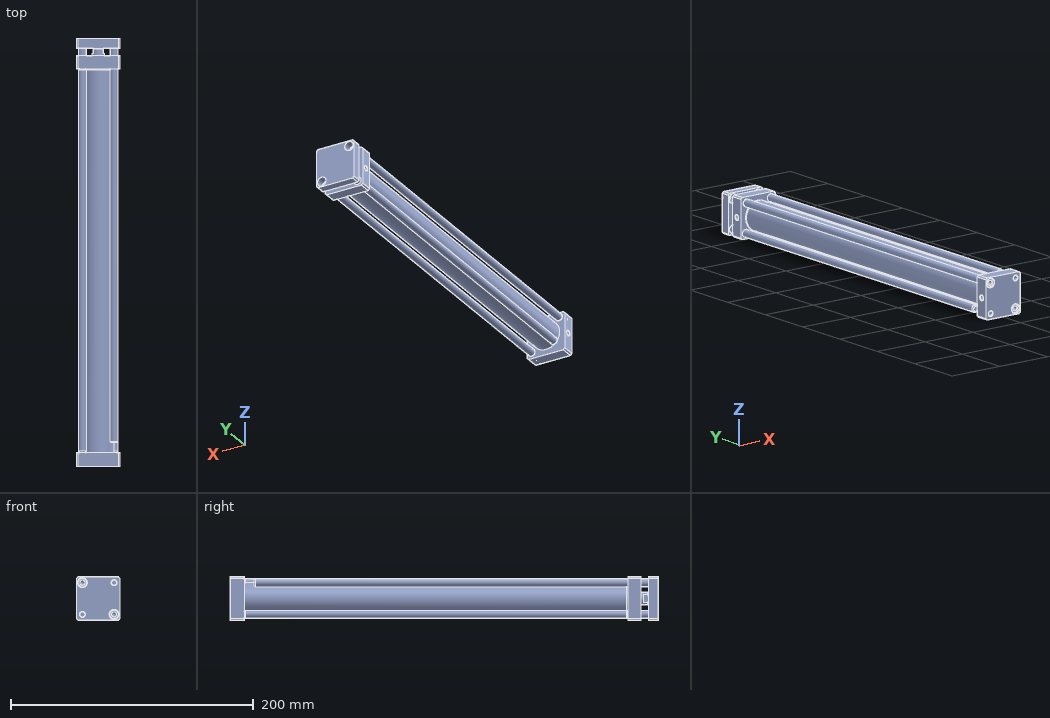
import cadquery as cq

LENGTH = 353.0
BLOCK_SIDE = 36.0
CORNER_CHAMFER = 1.5

FRONT_CAP_THICKNESS = 11.5
ROD_CAP_THICKNESS = 11.0
END_PLATE_THICKNESS = 8.0
PLATE_GAP = 6.0
FRONT_FACE = -LENGTH / 2
FRONT_CAP_BACK = FRONT_FACE + FRONT_CAP_THICKNESS
PLATE_FACE = LENGTH / 2 - END_PLATE_THICKNESS
ROD_CAP_BACK = PLATE_FACE - PLATE_GAP
ROD_CAP_FACE = ROD_CAP_BACK - ROD_CAP_THICKNESS

ROD_OFFSET = 13.0
TIE_CORNERS = [(-ROD_OFFSET, ROD_OFFSET), (ROD_OFFSET, -ROD_OFFSET)]
GUIDE_CORNERS = [(ROD_OFFSET, ROD_OFFSET), (-ROD_OFFSET, -ROD_OFFSET)]
ROD_DIAMETER = 6.7
ROD_CHAMFER = 1.0
GUIDE_CLEARANCE = 8.0

TIE_NECK_DIAMETER = 5.0
TIE_NECK_DEPTH = 7.0
TIE_HEAD_DIAMETER = 7.0
TIE_HEAD_LENGTH = 5.0
TIE_SOCKET_DIAMETER = 4.2
TIE_SOCKET_DEPTH = 2.0
COUNTERBORE_DIAMETER = 8.0
COUNTERBORE_DEPTH = 6.0

BARREL_DIAMETER = 26.0
SPIGOT_HEIGHT = 1.0

PISTON_DIAMETER = 10.5
FLAT_WIDTH = 8.5
FLAT_LENGTH = 4.2
PISTON_CHAMFER = 0.7

COUNTERSINK_RIM = 0.5
GUIDE_SEAT_DEPTH = 5.3
PORT_DIAMETER = 4.2
PORT_DEPTH = 7.0
MOUNT_DIAMETER = 4.2
MOUNT_DEPTH = 7.0
ACCESS_DIAMETER = 8.0


def cylinder(diameter, start, end, x=0.0, z=0.0):
    """Cylinder along Y from start to end, centred on (x, z)."""
    base = cq.Vector(x, start, z)
    return cq.Workplane(cq.Solid.makeCylinder(diameter / 2, end - start, base, cq.Vector(0, 1, 0)))


def square_block(start, end):
    block = cq.Workplane("XY").box(BLOCK_SIDE, end - start, BLOCK_SIDE)
    return block.edges("|Y").chamfer(CORNER_CHAMFER).translate((0, (start + end) / 2, 0))


def countersunk_hole(diameter, depth, mouth, inward):
    """Cutter for a blind flat-bottomed hole with a 45 degree chamfer at its mouth."""
    radius = diameter / 2
    bore = cq.Solid.makeCylinder(radius, depth, mouth, inward)
    rim = cq.Solid.makeCone(radius + COUNTERSINK_RIM, radius, COUNTERSINK_RIM, mouth, inward)
    return cq.Workplane(bore).union(cq.Workplane(rim))


def side_port(y):
    """Cutter for a port hole bored from the -X side at y."""
    return countersunk_hole(PORT_DIAMETER, PORT_DEPTH, cq.Vector(-BLOCK_SIDE / 2, y, 0), cq.Vector(1, 0, 0))


def make_front_cap():
    cap = square_block(FRONT_FACE, FRONT_CAP_BACK)
    for x, z in TIE_CORNERS:
        cap = cap.cut(cylinder(COUNTERBORE_DIAMETER, FRONT_FACE, FRONT_FACE + COUNTERBORE_DEPTH, x, z))
        cap = cap.cut(cylinder(TIE_NECK_DIAMETER, FRONT_FACE, FRONT_CAP_BACK, x, z))
    for x, z in GUIDE_CORNERS:
        mouth = cq.Vector(x, FRONT_FACE, z)
        cap = cap.cut(countersunk_hole(MOUNT_DIAMETER, MOUNT_DEPTH, mouth, cq.Vector(0, 1, 0)))
    return cap.cut(side_port((FRONT_FACE + FRONT_CAP_BACK) / 2))


def make_rod_cap():
    cap = square_block(ROD_CAP_FACE, ROD_CAP_BACK)
    cap = cap.union(cylinder(BARREL_DIAMETER, ROD_CAP_FACE - SPIGOT_HEIGHT, ROD_CAP_FACE))
    cap = cap.cut(cylinder(PISTON_DIAMETER, ROD_CAP_FACE - SPIGOT_HEIGHT, ROD_CAP_BACK))
    for x, z in TIE_CORNERS:
        cap = cap.cut(cylinder(TIE_NECK_DIAMETER, ROD_CAP_FACE, ROD_CAP_FACE + TIE_NECK_DEPTH, x, z))
    for x, z in GUIDE_CORNERS:
        cap = cap.cut(cylinder(ROD_DIAMETER, ROD_CAP_FACE, ROD_CAP_BACK, x, z))
    return cap.cut(side_port((ROD_CAP_FACE + ROD_CAP_BACK) / 2))


def make_end_plate():
    plate = square_block(PLATE_FACE, LENGTH / 2)
    for x, z in TIE_CORNERS:
        plate = plate.cut(cylinder(ACCESS_DIAMETER, PLATE_FACE, LENGTH / 2, x, z))
    for x, z in GUIDE_CORNERS:
        mouth = cq.Vector(x, PLATE_FACE, z)
        plate = plate.cut(countersunk_hole(ROD_DIAMETER, GUIDE_SEAT_DEPTH, mouth, cq.Vector(0, 1, 0)))
    return plate


def make_barrel():
    return cylinder(BARREL_DIAMETER, FRONT_CAP_BACK, ROD_CAP_FACE - SPIGOT_HEIGHT)


def make_piston_rod():
    rod = cylinder(PISTON_DIAMETER, ROD_CAP_FACE - SPIGOT_HEIGHT, PLATE_FACE)
    rod = rod.faces(">Y").edges().chamfer(PISTON_CHAMFER)
    flat_end = cylinder(PISTON_DIAMETER, PLATE_FACE - FLAT_LENGTH, PLATE_FACE)
    between_flats = cq.Workplane("XY").box(FLAT_WIDTH, FLAT_LENGTH, PISTON_DIAMETER)
    between_flats = between_flats.translate((0, PLATE_FACE - FLAT_LENGTH / 2, 0))
    return rod.cut(flat_end.cut(between_flats))


def make_tie_rod(x, z):
    rod = cylinder(ROD_DIAMETER, FRONT_CAP_BACK, ROD_CAP_FACE, x, z).edges().chamfer(ROD_CHAMFER)
    head_seat = FRONT_FACE + COUNTERBORE_DEPTH
    head_face = head_seat - TIE_HEAD_LENGTH
    rod = rod.union(cylinder(TIE_NECK_DIAMETER, head_seat, ROD_CAP_FACE + TIE_NECK_DEPTH, x, z))
    rod = rod.union(cylinder(TIE_HEAD_DIAMETER, head_face, head_seat, x, z))
    socket = cq.Solid.makeCone(
        TIE_SOCKET_DIAMETER / 2, 0, TIE_SOCKET_DEPTH, cq.Vector(x, head_face, z), cq.Vector(0, 1, 0)
    )
    return rod.cut(cq.Workplane(socket))


def make_guide_rod(x, z):
    rod = cylinder(ROD_DIAMETER, FRONT_CAP_BACK + GUIDE_CLEARANCE, PLATE_FACE + GUIDE_SEAT_DEPTH, x, z)
    return rod.faces("<Y").edges().chamfer(ROD_CHAMFER)


front_cap = make_front_cap()
rod_cap = make_rod_cap()
end_plate = make_end_plate()
barrel = make_barrel()
piston_rod = make_piston_rod()
tie_rods = [make_tie_rod(x, z) for x, z in TIE_CORNERS]
guide_rods = [make_guide_rod(x, z) for x, z in GUIDE_CORNERS]

single_bodies = [front_cap, rod_cap, end_plate, barrel, piston_rod]
result = cq.Compound.makeCompound([body.val() for body in single_bodies + tie_rods + guide_rods])